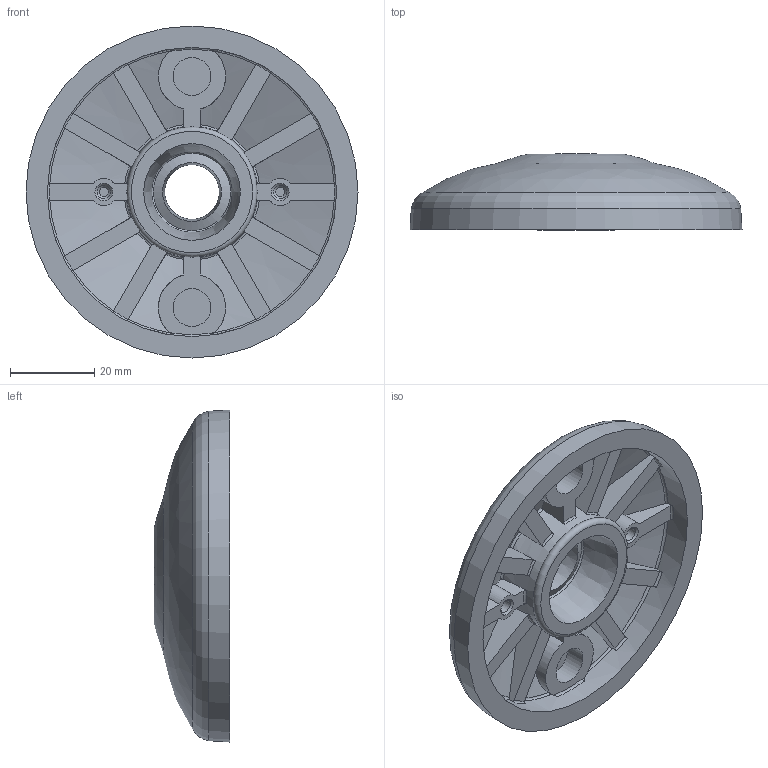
import cadquery as cq
import math


FULL_TURN = 360

HEIGHT = 18.0
OUTER_RADIUS = 39.5
SHOULDER_START = (39.2, 5.0)
SHOULDER_MIDDLE = (38.3, 7.3)
SHOULDER_END = (36.4, 8.9)
DOME_MIDDLE = (27.2, 13.6)
CROWN_START = (18.6, 15.8)
CROWN_MIDDLE = (15.0, 17.1)
CROWN_RADIUS = 11.3

RIM_INNER_RADIUS = 34.4
RIM_FILLET = 0.5
FLOOR_OUTER_DEPTH = 6.9
FLOOR_INNER_DEPTH = 12.5

HUB_FACE_DEPTH = 0.5
HUB_FACE_RADIUS = 14.4
HUB_BEAD_ROUND = 1.1
NECK_TOP_RADIUS = 14.4
NECK_BASE_RADIUS = 15.7
NECK_FILLET = 0.5
SOCKET_MOUTH_RADIUS = 11.5
SOCKET_END_RADIUS = 9.6
SOCKET_DEPTH = 10.0
GROOVE_RADIUS = 9.2
GROOVE_DEPTH = 10.4
LIP_RADIUS = 7.0
LIP_DEPTH = 9.4
BORE_RADIUS = 6.5

RIB_COUNT = 12
RIB_WIDTH = 4.0
RIB_DEPTH = 5.3
LARGE_BOSS_OFFSET = 27.5
LARGE_BOSS_RADIUS = 8.0
LARGE_HOLE_RADIUS = 4.5
LARGE_HOLE_END = 10.3
SMALL_BOSS_OFFSET = 21.0
SMALL_BOSS_RADIUS = 3.2
SMALL_MOUTH_RADIUS = 2.1
SMALL_HOLE_RADIUS = 1.6
SMALL_TIP_RADIUS = 1.1
SMALL_CHAMFER_END = RIB_DEPTH + 0.5
SMALL_HOLE_END = 11.0
SMALL_TIP_END = 11.5

ARC_INSET = 1 - math.sqrt(0.5)


def revolve_about_y(profile):
    return profile.close().revolve(FULL_TURN, (0, 0, 0), (0, 1, 0))


def cylinder_along_y(x, z, radius, start, end):
    plane = cq.Plane(origin=(x, start, z), xDir=(1, 0, 0), normal=(0, 1, 0))
    return cq.Workplane(plane).circle(radius).extrude(end - start)


def dome_solid():
    profile = (
        cq.Workplane("XY")
        .lineTo(OUTER_RADIUS, 0)
        .lineTo(*SHOULDER_START)
        .threePointArc(SHOULDER_MIDDLE, SHOULDER_END)
        .threePointArc(DOME_MIDDLE, CROWN_START)
        .threePointArc(CROWN_MIDDLE, (CROWN_RADIUS, HEIGHT))
        .lineTo(0, HEIGHT)
    )
    return revolve_about_y(profile)


def neck_radius(depth):
    """Radius of the hub's tapered outside at the given depth below the open face."""
    return NECK_TOP_RADIUS + (NECK_BASE_RADIUS - NECK_TOP_RADIUS) * depth / FLOOR_INNER_DEPTH


def ring_solid(outer_depth, inner_depth):
    """Ring between hub and rim, filleted where the straight floor line meets both walls.

    The floor line runs from outer_depth near the rim to inner_depth near the hub.
    The ring lies between that line and the plane of the open face.
    """
    neck_end_depth = inner_depth - NECK_FILLET
    neck_end_radius = neck_radius(neck_end_depth)
    profile = (
        cq.Workplane("XY")
        .moveTo(NECK_TOP_RADIUS, 0)
        .lineTo(RIM_INNER_RADIUS, 0)
        .lineTo(RIM_INNER_RADIUS, outer_depth - RIM_FILLET)
        .threePointArc(
            (RIM_INNER_RADIUS - ARC_INSET * RIM_FILLET, outer_depth - ARC_INSET * RIM_FILLET),
            (RIM_INNER_RADIUS - RIM_FILLET, outer_depth),
        )
        .lineTo(neck_end_radius + NECK_FILLET, inner_depth)
        .threePointArc(
            (neck_end_radius + ARC_INSET * NECK_FILLET, inner_depth - ARC_INSET * NECK_FILLET),
            (neck_end_radius, neck_end_depth),
        )
    )
    return revolve_about_y(profile)


def hub_bead():
    """Half-round bead around the open end of the hub."""
    bead_middle_depth = HUB_FACE_DEPTH + HUB_BEAD_ROUND
    bead_end_depth = bead_middle_depth + HUB_BEAD_ROUND
    profile = (
        cq.Workplane("XY")
        .moveTo(0, HUB_FACE_DEPTH)
        .lineTo(HUB_FACE_RADIUS, HUB_FACE_DEPTH)
        .threePointArc(
            (HUB_FACE_RADIUS + HUB_BEAD_ROUND, bead_middle_depth),
            (HUB_FACE_RADIUS, bead_end_depth),
        )
        .lineTo(0, bead_end_depth)
    )
    return revolve_about_y(profile)


def bore_solid():
    """Tapered socket ending in a groove around a conical lip, then the through bore."""
    profile = (
        cq.Workplane("XY")
        .moveTo(0, HUB_FACE_DEPTH)
        .lineTo(SOCKET_MOUTH_RADIUS, HUB_FACE_DEPTH)
        .lineTo(SOCKET_END_RADIUS, SOCKET_DEPTH)
        .lineTo(GROOVE_RADIUS, GROOVE_DEPTH)
        .lineTo(LIP_RADIUS, LIP_DEPTH)
        .lineTo(BORE_RADIUS, HEIGHT)
        .lineTo(0, HEIGHT)
    )
    return revolve_about_y(profile)


def large_boss_centres():
    return [(0, side * LARGE_BOSS_OFFSET) for side in (-1, 1)]


def small_boss_centres():
    return [(side * SMALL_BOSS_OFFSET, 0) for side in (-1, 1)]


def ribs_and_bosses():
    """Ribs and bosses with one common top, blended into the hub and the rim."""
    rib = cq.Workplane("XY").box(RIM_INNER_RADIUS, HEIGHT, RIB_WIDTH, centered=(False, False, True))
    blocks = rib
    for index in range(1, RIB_COUNT):
        blocks = blocks.union(rib.rotate((0, 0, 0), (0, 1, 0), index * FULL_TURN / RIB_COUNT))
    for x, z in large_boss_centres():
        blocks = blocks.union(cylinder_along_y(x, z, LARGE_BOSS_RADIUS, 0, HEIGHT))
    for x, z in small_boss_centres():
        blocks = blocks.union(cylinder_along_y(x, z, SMALL_BOSS_RADIUS, 0, HEIGHT))
    return blocks.cut(ring_solid(RIB_DEPTH, RIB_DEPTH))


def small_boss_hole(x, z):
    """Blind hole with a countersunk mouth and a conical tip."""
    profile = (
        cq.Workplane("XY")
        .moveTo(0, RIB_DEPTH)
        .lineTo(SMALL_MOUTH_RADIUS, RIB_DEPTH)
        .lineTo(SMALL_HOLE_RADIUS, SMALL_CHAMFER_END)
        .lineTo(SMALL_HOLE_RADIUS, SMALL_HOLE_END)
        .lineTo(SMALL_TIP_RADIUS, SMALL_TIP_END)
        .lineTo(0, SMALL_TIP_END)
    )
    return revolve_about_y(profile).translate((x, 0, z))


cavity = ring_solid(FLOOR_OUTER_DEPTH, FLOOR_INNER_DEPTH).cut(ribs_and_bosses())
hub_clearance = cylinder_along_y(0, 0, NECK_BASE_RADIUS, 0, HUB_FACE_DEPTH)
result = dome_solid().cut(cavity).cut(hub_clearance).union(hub_bead()).cut(bore_solid())
for x, z in large_boss_centres():
    result = result.cut(cylinder_along_y(x, z, LARGE_HOLE_RADIUS, RIB_DEPTH, LARGE_HOLE_END))
for x, z in small_boss_centres():
    result = result.cut(small_boss_hole(x, z))